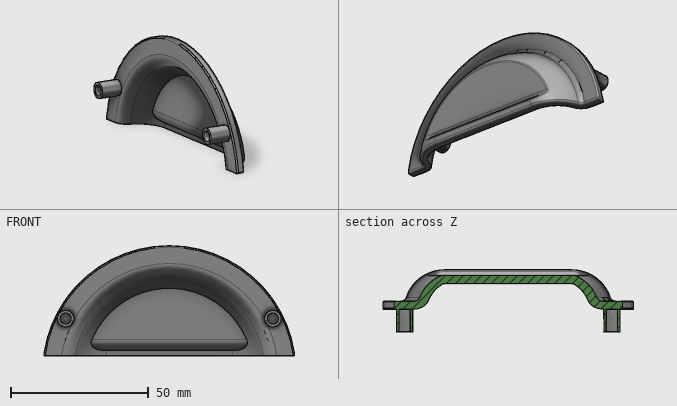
import cadquery as cq
import math

width = 90.9
height = 40.0
wall = 3.0

rim_round = 0.5
lip_round = 1.0

corner_half_width = width / 2 - rim_round
corner_rise = height - 2 * rim_round
rim_radius = rim_round + (corner_half_width ** 2 + corner_rise ** 2) / (2 * corner_rise)
axis_z = height - rim_radius

crown_radius = 23.9
dome_radius = 14.4
mouth_radius = 39.4
inner_dome_radius = dome_radius - wall

panel_front = 12.3
panel_back = panel_front - wall
bend_top = 6.0
inner_bend_radius = 5.0
outer_bend_radius = 2.4

post_x = 37.5
post_z = 13.5
post_diameter = 6.0
hole_diameter = 4.0
post_length = 8.2

mouth_reach = mouth_radius - crown_radius
mouth_bend = (mouth_reach ** 2 - inner_dome_radius ** 2) / (2 * inner_dome_radius)
blend_angle = math.atan2(mouth_bend, mouth_reach)


def dome_point(radius, angle):
    return (crown_radius + radius * math.cos(angle), radius * math.sin(angle))


def mouth_mid(radius):
    """Middle of a mouth arc, between its plane end and its dome end."""
    angle = (-math.pi / 2 + blend_angle - math.pi) / 2
    return (mouth_radius + radius * math.cos(angle), mouth_bend + radius * math.sin(angle))


def revolve_slice(profile):
    """Revolve a closed profile about the Y axis and keep the part above Z = 0."""
    body = profile.close().revolve(360, (0, 0, 0), (0, 1, 0))
    keep = cq.Workplane("XY").box(2 * width, 2 * width, width, centered=(True, True, False))
    return body.intersect(keep)


def add_dome(profile, radius, mouth_arc_radius):
    """Continue a profile from the mouth over the dome to the revolve axis."""
    middle = dome_point(radius, (blend_angle + math.pi / 2) / 2)
    return (
        profile.threePointArc(mouth_mid(mouth_arc_radius), dome_point(radius, blend_angle))
        .threePointArc(middle, (crown_radius, radius))
        .lineTo(0, radius)
    )


def below_bend(panel_y, radius, end_y):
    """Space behind the panel, whose bend arc curls from the panel down to the lip at end_y."""
    center_y = panel_y + radius
    end_angle = math.pi + math.acos((center_y - end_y) / radius)
    mid_angle = (math.pi + end_angle) / 2
    middle = (center_y + radius * math.cos(mid_angle), bend_top + radius * math.sin(mid_angle))
    end_z = bend_top + radius * math.sin(end_angle)
    return (
        cq.Workplane("YZ")
        .moveTo(-width, height)
        .lineTo(panel_y, height)
        .lineTo(panel_y, bend_top)
        .threePointArc(middle, (end_y, end_z))
        .lineTo(width, end_z)
        .lineTo(width, -height)
        .lineTo(-width, -height)
        .close()
        .extrude(width, both=True)
    )


def round_edges(body):
    """Round the lip and the plate rim, leaving the back edge of the straight side sharp."""
    bottom_edges = body.faces("<Z").edges().vals()
    front_edges = [edge for edge in bottom_edges if edge.Center().y > wall / 2 + rim_round]
    body = body.newObject(front_edges).fillet(lip_round)
    body = body.faces(">Y").edges(">Z").fillet(lip_round)
    rim_arcs = [
        edge for edge in body.edges("%CIRCLE").vals()
        if abs(edge.radius() - rim_radius) < rim_round / 2
    ]
    end_edges = [
        edge for edge in body.edges("|Y").vals()
        if abs(edge.Center().x) > width / 2 - rim_round
    ]
    body = body.newObject(rim_arcs + end_edges).fillet(rim_round)
    return body


def make_outer():
    """Solid plate and dome."""
    profile = (
        cq.Workplane("XY", origin=(0, 0, axis_z))
        .lineTo(rim_radius, 0)
        .lineTo(rim_radius, wall)
        .lineTo(mouth_radius, wall)
    )
    body = revolve_slice(add_dome(profile, dome_radius, mouth_bend - wall))
    body = body.intersect(below_bend(panel_front, outer_bend_radius, dome_radius))
    return round_edges(body)


def make_cavity():
    """Hollow of the cup, open at the back and at the straight edge."""
    profile = cq.Workplane("XY", origin=(0, 0, axis_z)).lineTo(mouth_radius, 0)
    body = revolve_slice(add_dome(profile, inner_dome_radius, mouth_bend))
    return body.intersect(below_bend(panel_back, inner_bend_radius, inner_dome_radius))


def add_posts(body):
    for side in (-1, 1):
        face = cq.Workplane("XZ", origin=(side * post_x, 0, post_z))
        body = body.union(face.circle(post_diameter / 2).extrude(post_length))
        body = body.cut(face.circle(hole_diameter / 2).extrude(post_length))
    return body


result = add_posts(make_outer().cut(make_cavity()))